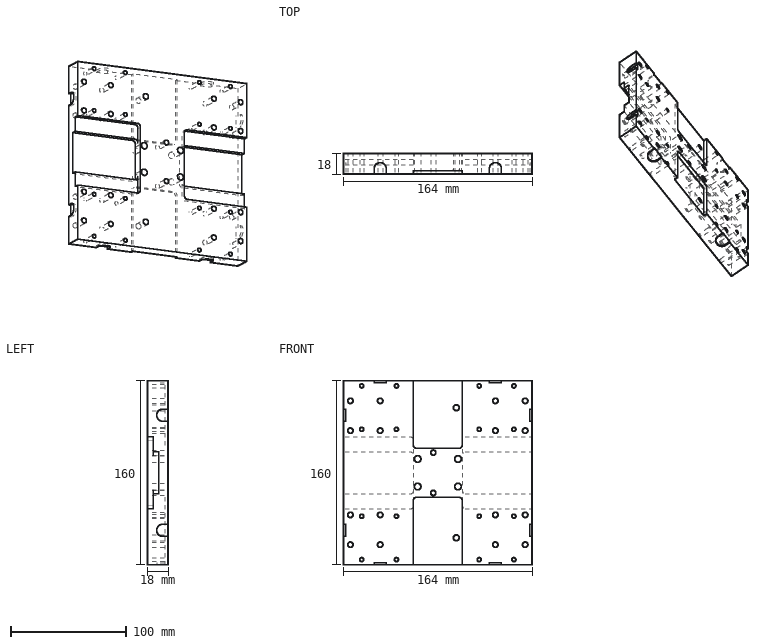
import cadquery as cq

LENGTH = 164.0
THICKNESS = 18.0
HEIGHT = 160.0
FRONT_Y = -THICKNESS / 2
BACK_Y = THICKNESS / 2

BRIDGE = 42.6
CORNER_RADIUS = 3.0
FRONT_POCKET_WIDTH = 42.6
FRONT_POCKET_DEPTH = 3.1
BACK_STEPS = [
    (62.6, 5.0),
    (36.5, 10.0),
]

NOTCH_OFFSET = 50.0
NOTCH_WIDTH = 10.5
NOTCH_REACH = 10.0
NOTCH_DEPTH = 2.0

MOUNT_DIAMETER = 4.5
MOUNT_CENTRE = (63.0, 49.5)
MOUNT_PITCH = (25.9, 25.9)
RAIL_DIAMETER = 3.3
RAIL_CENTRE = (51.0, 56.5)
RAIL_PITCH = (30.2, 37.7)

BRACKET_DIAMETER = 5.5
BRACKET_PITCH = (35.1, 24.0)
PIN_DIAMETER = 4.3
PIN_X = -4.0
PIN_PITCH = 35.0
POCKET_HOLE_DIAMETER = 5.0
POCKET_HOLE_X = 16.0
POCKET_HOLE_PITCH = 113.0


def block(size_x, size_y, size_z, centre):
    return cq.Workplane("XY").box(size_x, size_y, size_z).translate(centre)


def front_pocket(side):
    """Shallow pocket from the bridge to the top (side = 1) or bottom (-1)."""
    run = (HEIGHT - BRIDGE) / 2
    centre = (0, FRONT_Y + FRONT_POCKET_DEPTH / 2, side * (BRIDGE + run) / 2)
    pocket = block(FRONT_POCKET_WIDTH, FRONT_POCKET_DEPTH, run, centre)
    inner_end = "<Z" if side > 0 else ">Z"
    return pocket.faces(inner_end).edges("|Y").fillet(CORNER_RADIUS)


def back_pocket(side, width, depth):
    """One step of the pocket from the bridge to the right (side = 1) or left (-1)."""
    run = (LENGTH - BRIDGE) / 2
    pocket = block(run, depth, width, (side * (BRIDGE + run) / 2, BACK_Y - depth / 2, 0))
    inner_end = "<X" if side > 0 else ">X"
    return pocket.faces(inner_end).edges("|Y").fillet(CORNER_RADIUS)


def notch_pair(plane, span):
    """Notches at one place on two opposite sides, which lie span apart."""
    radius = NOTCH_WIDTH / 2
    profile = (
        cq.Workplane(plane)
        .moveTo(NOTCH_OFFSET - radius, FRONT_Y)
        .lineTo(NOTCH_OFFSET - radius, FRONT_Y + NOTCH_REACH - radius)
        .threePointArc(
            (NOTCH_OFFSET, FRONT_Y + NOTCH_REACH),
            (NOTCH_OFFSET + radius, FRONT_Y + NOTCH_REACH - radius),
        )
        .lineTo(NOTCH_OFFSET + radius, FRONT_Y)
        .close()
    )
    bar = profile.extrude(span / 2, both=True)
    core = block(LENGTH - 2 * NOTCH_DEPTH, THICKNESS, HEIGHT - 2 * NOTCH_DEPTH, (0, 0, 0))
    return bar.cut(core)


def through_holes(diameter, points):
    """Round holes along Y at (x, z) points."""
    return (
        cq.Workplane("XZ")
        .pushPoints(points)
        .circle(diameter / 2)
        .extrude(THICKNESS, both=True)
    )


def rectangle_points(centre, pitch):
    """Corners of a rectangle with sides pitch around centre, as (x, z)."""
    return [
        (centre[0] + sx * pitch[0] / 2, centre[1] + sz * pitch[1] / 2)
        for sx in (-1, 1)
        for sz in (-1, 1)
    ]


def corner_group_points(centre, pitch):
    """Rectangles of holes mirrored into all four quadrants."""
    return [
        (sx * x, sz * z)
        for x, z in rectangle_points(centre, pitch)
        for sx in (-1, 1)
        for sz in (-1, 1)
    ]


plate = cq.Workplane("XY").box(LENGTH, THICKNESS, HEIGHT)

for side in (-1, 1):
    plate = plate.cut(front_pocket(side))
    for step_width, step_depth in BACK_STEPS:
        plate = plate.cut(back_pocket(side, step_width, step_depth))

top_bottom_notches = notch_pair("XY", HEIGHT)
left_right_notches = notch_pair("ZY", LENGTH)
plate = plate.cut(top_bottom_notches).cut(top_bottom_notches.mirror("YZ"))
plate = plate.cut(left_right_notches).cut(left_right_notches.mirror("XY"))

HOLE_GROUPS = [
    (MOUNT_DIAMETER, corner_group_points(MOUNT_CENTRE, MOUNT_PITCH)),
    (RAIL_DIAMETER, corner_group_points(RAIL_CENTRE, RAIL_PITCH)),
    (BRACKET_DIAMETER, rectangle_points((0, 0), BRACKET_PITCH)),
    (PIN_DIAMETER, [(PIN_X, side * PIN_PITCH / 2) for side in (-1, 1)]),
    (POCKET_HOLE_DIAMETER, [(POCKET_HOLE_X, side * POCKET_HOLE_PITCH / 2) for side in (-1, 1)]),
]
for diameter, points in HOLE_GROUPS:
    plate = plate.cut(through_holes(diameter, points))

result = plate